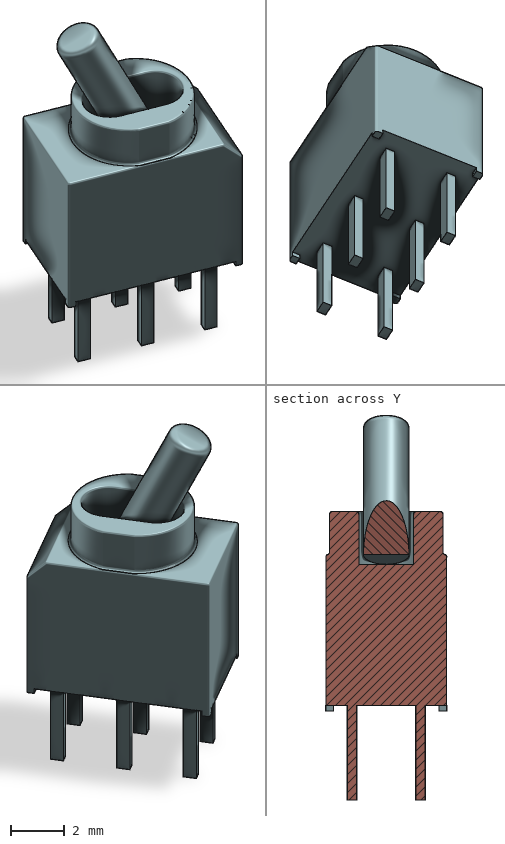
import cadquery as cq
import math

CASE_X = 4.5
CASE_Y = 7.01
CASE_TOP = 5.8
CASE_EDGE_RADIUS = 0.1
BEVEL = 0.75
FOOT_SIDE = 0.3
FOOT_HEIGHT = 0.2

BUSHING_HALF_LENGTH = 2.3
BUSHING_HALF_WIDTH = 2.105
FLAT_HALF_LENGTH = 0.61
BUSHING_TOP = 7.4
BUSHING_RIM_RADIUS = 0.1
BUSHING_FOOT_RADIUS = 0.1

LEVER_RADIUS = 0.85
LEVER_LENGTH = 5.39
LEVER_TIP_RADIUS = 0.25
LEVER_TILT = 25

SLOT_WIDTH = 2.02
SLOT_LENGTH = 3.86
SLOT_RIM_RADIUS = 0.1
SLOT_FLOOR = CASE_TOP - LEVER_RADIUS * math.sin(math.radians(LEVER_TILT))

PIN_X = 0.36
PIN_Y = 0.5
PIN_PITCH = 2.54
PIN_TIP = -3.3
PIN_COLUMNS = (-PIN_PITCH / 2, PIN_PITCH / 2)
PIN_ROWS = (-PIN_PITCH, 0, PIN_PITCH)

SELECTION_MARGIN = 0.01


def plane_at(z, x=0, y=0):
    return cq.Workplane("XY", origin=(x, y, z))


def edges_around(half_x, half_y, z):
    """Select the edges at height z that lie within the given half sizes about the Z axis."""
    margin = SELECTION_MARGIN
    return cq.selectors.BoxSelector(
        (-half_x - margin, -half_y - margin, z - margin),
        (half_x + margin, half_y + margin, z + margin),
        boundingbox=True,
    )


def make_sharp_block():
    """Block with a bevel along its +Y top edge and all edges sharp."""
    half_y = CASE_Y / 2
    profile = [
        (-half_y, 0),
        (half_y, 0),
        (half_y, CASE_TOP - BEVEL),
        (half_y - BEVEL, CASE_TOP),
        (-half_y, CASE_TOP),
    ]
    return cq.Workplane("YZ").polyline(profile).close().extrude(CASE_X / 2, both=True)


def make_case():
    """Rounded block; two crossing channels in the underside leave the corner feet."""
    case = make_sharp_block().edges("not <Z").fillet(CASE_EDGE_RADIUS)
    inner_x = CASE_X - 2 * FOOT_SIDE
    inner_y = CASE_Y - 2 * FOOT_SIDE
    for channel_x, channel_y in ((inner_x, CASE_Y), (CASE_X, inner_y)):
        case = case.cut(plane_at(0).rect(channel_x, channel_y).extrude(FOOT_HEIGHT))
    return case


def bushing_prism(growth, bottom):
    """Prism of the bushing outline, grown outward, from the given height to the bushing top."""
    half_width = BUSHING_HALF_WIDTH + growth
    half_length = BUSHING_HALF_LENGTH + growth
    return (
        plane_at(bottom)
        .moveTo(half_width, -FLAT_HALF_LENGTH)
        .lineTo(half_width, FLAT_HALF_LENGTH)
        .threePointArc((0, half_length), (-half_width, FLAT_HALF_LENGTH))
        .lineTo(-half_width, -FLAT_HALF_LENGTH)
        .threePointArc((0, -half_length), (half_width, -FLAT_HALF_LENGTH))
        .close()
        .extrude(BUSHING_TOP - bottom)
    )


def make_bushing():
    """Collar with a rounded rim and a concave foot, rooted a little way into the case."""
    collar = bushing_prism(0, CASE_TOP).faces(">Z").edges().fillet(BUSHING_RIM_RADIUS)
    foot_edges = edges_around(BUSHING_HALF_WIDTH, BUSHING_HALF_LENGTH, CASE_TOP)
    flared = make_sharp_block().union(collar).edges(foot_edges).fillet(BUSHING_FOOT_RADIUS)
    root = CASE_TOP - 2 * CASE_EDGE_RADIUS
    return flared.intersect(bushing_prism(BUSHING_FOOT_RADIUS, root))


def cut_slot(housing):
    slot = plane_at(SLOT_FLOOR).slot2D(SLOT_LENGTH, SLOT_WIDTH, 90).extrude(BUSHING_TOP - SLOT_FLOOR)
    rim_edges = edges_around(SLOT_WIDTH / 2, SLOT_LENGTH / 2, BUSHING_TOP)
    return housing.cut(slot).edges(rim_edges).fillet(SLOT_RIM_RADIUS)


def add_pins(housing):
    pin_length = FOOT_HEIGHT - PIN_TIP
    for x in PIN_COLUMNS:
        for y in PIN_ROWS:
            housing = housing.union(plane_at(PIN_TIP, x, y).rect(PIN_X, PIN_Y).extrude(pin_length))
    return housing


def make_housing():
    """Case, bushing and terminal pins as one solid."""
    return add_pins(cut_slot(make_case().union(make_bushing())))


def make_lever():
    upright = plane_at(0).circle(LEVER_RADIUS).extrude(LEVER_LENGTH)
    upright = upright.faces(">Z").edges().fillet(LEVER_TIP_RADIUS)
    return upright.rotate((0, 0, 0), (1, 0, 0), LEVER_TILT).translate((0, 0, CASE_TOP))


housing = make_housing()
lever = make_lever()
result = cq.Compound.makeCompound([housing.solids().val(), lever.solids().val()])